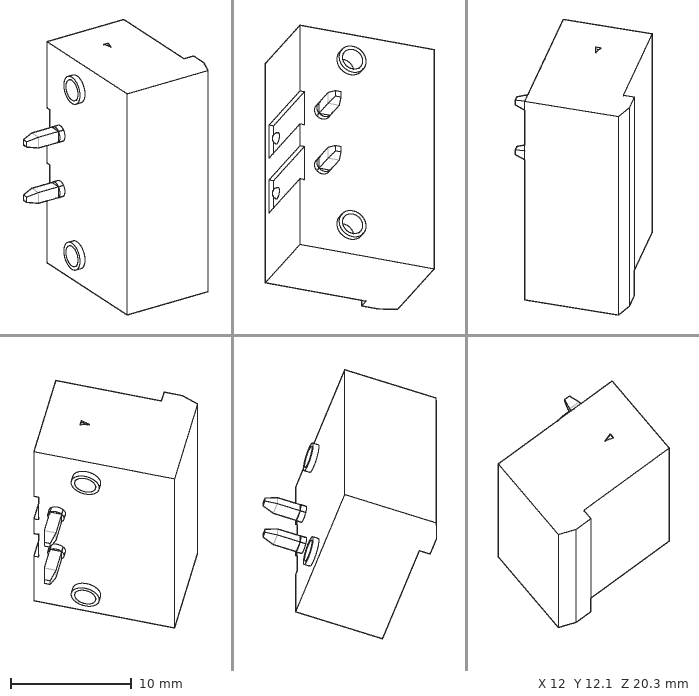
import cadquery as cq


width = 12.0
height = 20.32
lip_top = 8.6
shelf_top = 7.65
lip_start = 9.0
slope_start = 10.55
slope_drop = 0.55

pitch = 5.08
contact_heights = [-pitch / 2, pitch / 2]
pin_x = 2.0
pin_length = 3.5
collar_diameter = 1.4
collar_length = 0.5
pin_side = 1.0
tip_side = 0.5
tip_length = 1.0

pocket_length = 6.8
pocket_height = 3.05
pocket_depth = 0.4
stud_y = 6.0
stud_diameter = 1.0

peg_x = 4.5
peg_heights = [-1.5 * pitch, 1.5 * pitch]
peg_diameter = 2.4
peg_bore_diameter = 1.8
peg_length = 0.5
peg_bore_depth = 2.0

marker_x = 3.05
marker_y = 3.85
marker_length = 0.75
marker_width = 0.45
marker_depth = 0.2


def make_housing():
    """Block with a raised, sloped lip along its right side."""
    outline = [
        (0, 0),
        (width, 0),
        (width, lip_top - slope_drop),
        (slope_start, lip_top),
        (lip_start, lip_top),
        (lip_start, shelf_top),
        (0, shelf_top),
    ]
    return cq.Workplane("XY").polyline(outline).close().extrude(height / 2, both=True)


def mounting_plane(x, z, y=0.0):
    """Workplane facing away from the mounting face, centred at the given point."""
    return cq.Workplane(cq.Plane(origin=(x, y, z), xDir=(1, 0, 0), normal=(0, -1, 0)))


def make_pin(z):
    """Round collar, square shank and tapered tip."""
    shank_length = pin_length - tip_length
    collar = mounting_plane(pin_x, z).circle(collar_diameter / 2).extrude(collar_length)
    shank = mounting_plane(pin_x, z).rect(pin_side, pin_side).extrude(shank_length)
    tip = (
        mounting_plane(pin_x, z, -shank_length)
        .rect(pin_side, pin_side)
        .workplane(offset=tip_length)
        .rect(tip_side, tip_side)
        .loft(ruled=True)
    )
    return collar.union(shank).union(tip)


def make_pocket(z):
    """Shallow pocket in the left side, open to the mounting face."""
    return cq.Workplane("XY").box(
        pocket_depth, pocket_length, pocket_height, centered=(False, False, True)
    ).translate((0, 0, z))


def make_stud(z):
    """Domed stud on the pocket floor."""
    return cq.Workplane("XY").sphere(stud_diameter / 2).translate((stud_diameter / 2, stud_y, z))


def make_peg(z):
    """Round locating peg."""
    return mounting_plane(peg_x, z).circle(peg_diameter / 2).extrude(peg_length)


def make_peg_bore(z):
    """Blind bore through the peg into the housing."""
    return (
        mounting_plane(peg_x, z, -peg_length)
        .circle(peg_bore_diameter / 2)
        .extrude(-peg_bore_depth)
    )


def make_marker():
    """Triangle pointing toward +X."""
    corners = [
        (marker_x, marker_y - marker_width / 2),
        (marker_x + marker_length, marker_y),
        (marker_x, marker_y + marker_width / 2),
    ]
    return (
        cq.Workplane("XY", origin=(0, 0, height / 2))
        .polyline(corners)
        .close()
        .extrude(-marker_depth)
    )


result = make_housing().cut(make_marker())
for contact_z in contact_heights:
    result = result.cut(make_pocket(contact_z)).union(make_stud(contact_z)).union(make_pin(contact_z))
for peg_z in peg_heights:
    result = result.union(make_peg(peg_z)).cut(make_peg_bore(peg_z))